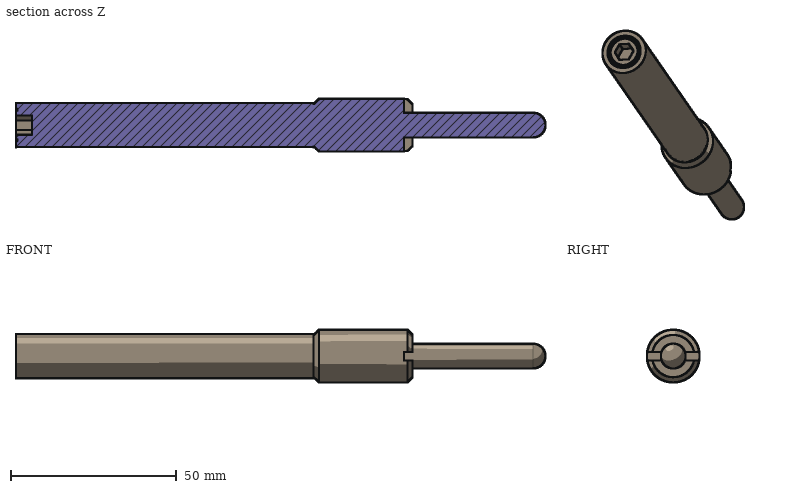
import cadquery as cq

total_length = 160.0
collar_start = 90.0
collar_end = 119.8

shank_diameter = 13.5
collar_diameter = 16.0
pin_diameter = 7.5

collar_chamfer = 1.6

groove_outer_diameter = 10.2
groove_inner_diameter = 8.3
socket_across_flats = 5.0
socket_depth = 4.8
socket_turn = 30

slot_width = 2.5
slot_depth = 2.5

pin_radius = pin_diameter / 2


def cylinder(diameter, start, end):
    """Cylinder on the X axis between two stations."""
    return cq.Workplane("YZ", origin=(start, 0, 0)).circle(diameter / 2).extrude(end - start)


def make_shank():
    return cylinder(shank_diameter, 0, collar_start)


def make_collar():
    """Chamfered collar with a driver slot running along Y."""
    collar = cylinder(collar_diameter, collar_start, collar_end).edges().chamfer(collar_chamfer)
    slot = cq.Workplane("XY").box(2 * slot_depth, collar_diameter, slot_width)
    return collar.cut(slot.translate((collar_end, 0, 0)))


def make_pin():
    """Pin with a hemispherical tip, rooted at the floor of the collar slot."""
    pin = cylinder(pin_diameter, collar_end - slot_depth, total_length - pin_radius)
    tip = cq.Workplane("XY").sphere(pin_radius).translate((total_length - pin_radius, 0, 0))
    return pin.union(tip)


def make_ring_groove():
    """Ring groove with two 45 degree conical walls."""
    outer_radius = groove_outer_diameter / 2
    inner_radius = groove_inner_diameter / 2
    groove_depth = (outer_radius - inner_radius) / 2
    root_radius = inner_radius + groove_depth
    return (
        cq.Workplane("XY")
        .polyline([(0, inner_radius), (0, outer_radius), (groove_depth, root_radius)])
        .close()
        .revolve(360, (0, 0, 0), (1, 0, 0))
    )


def make_socket():
    """Hexagon socket with two corners on the Y axis."""
    return (
        cq.Workplane("YZ")
        .transformed(rotate=(0, 0, socket_turn))
        .polygon(6, socket_across_flats, circumscribed=True)
        .extrude(socket_depth)
    )


body = make_shank().union(make_collar()).union(make_pin())
result = body.cut(make_ring_groove()).cut(make_socket())